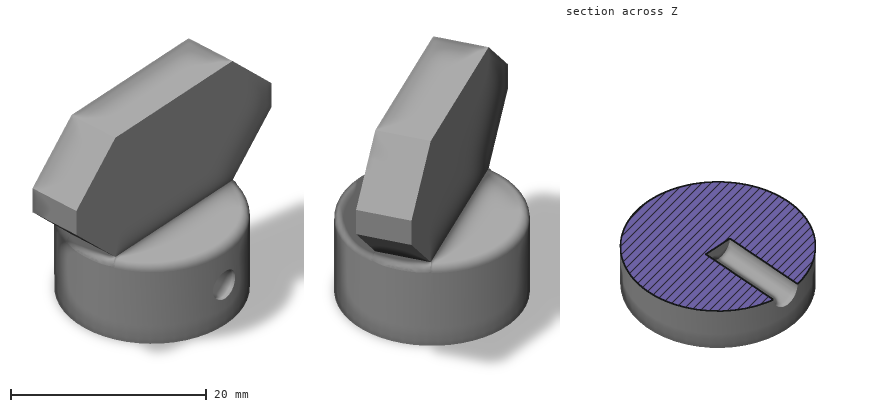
import cadquery as cq

BASE_DIAMETER = 20.0
BASE_HEIGHT = 10.0
RIM_FILLET = 1.0

BLADE_LENGTH = 30.0
BLADE_HEIGHT = 15.0
BLADE_THICKNESS = 6.0
BLADE_CORNER_CUT = 6.0

SCREW_HOLE_DIAMETER = 3.4
SCREW_HOLE_Z = BASE_HEIGHT / 2
SCREW_HOLE_DEPTH = BASE_DIAMETER / 2


def make_base():
    return cq.Workplane("XY").circle(BASE_DIAMETER / 2).extrude(BASE_HEIGHT)


def make_blade():
    """Upright plate with its four end corners cut at 45 degrees."""
    return (
        cq.Workplane("XY")
        .workplane(offset=BASE_HEIGHT)
        .box(BLADE_THICKNESS, BLADE_LENGTH, BLADE_HEIGHT, centered=(True, True, False))
        .edges("|X")
        .chamfer(BLADE_CORNER_CUT)
    )


def round_rim(knob):
    """Round the top rim of the base, including the stretches under the blade ends."""
    return knob.edges("%CIRCLE").edges(">Z").fillet(RIM_FILLET)


def make_screw_hole():
    return (
        cq.Workplane("YZ")
        .center(0, SCREW_HOLE_Z)
        .circle(SCREW_HOLE_DIAMETER / 2)
        .extrude(SCREW_HOLE_DEPTH)
    )


knob = make_base().union(make_blade())
result = round_rim(knob).cut(make_screw_hole())